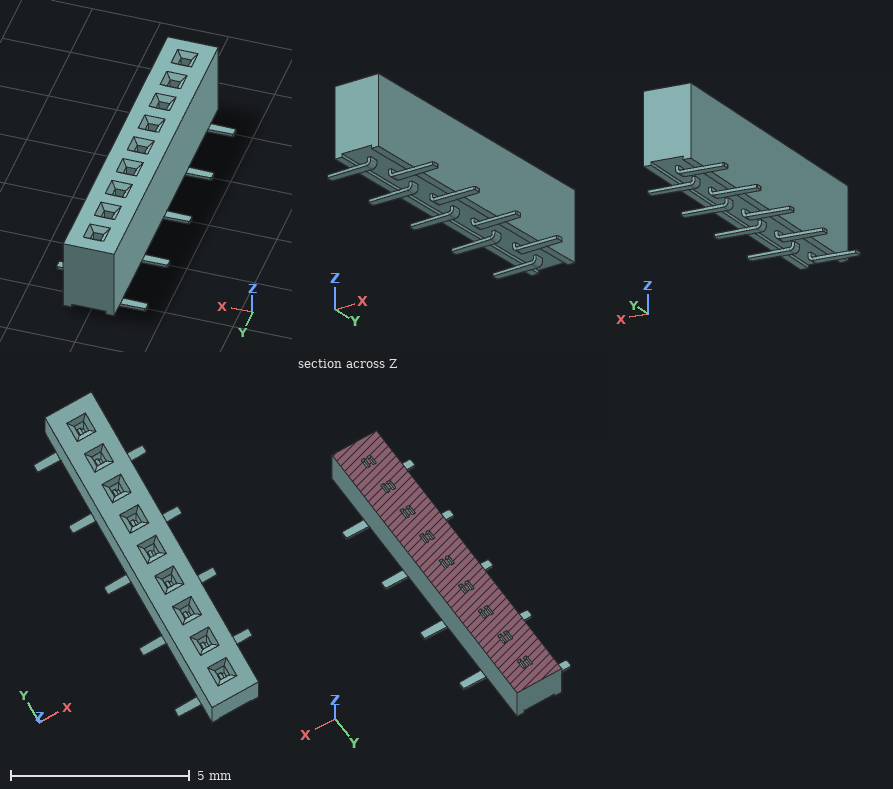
import cadquery as cq

PIN_COUNT = 9
PITCH = 1.0
END_MARGIN = 0.75
BODY_WIDTH = 1.5
BODY_LENGTH = (PIN_COUNT - 1) * PITCH + 2 * END_MARGIN
TOP_Z = 2.4
STANDOFF = 0.15
CHANNEL_WIDTH = 1.0
CHANNEL_ROOF_Z = 0.25

SOCKET_MOUTH = 0.6
SOCKET_BORE = 0.3
FUNNEL_DEPTH = (SOCKET_MOUTH - SOCKET_BORE) / 2
BORE_FLOOR_Z = 1.2

STRIP_THICKNESS = 0.1
STRIP_WIDTH = 0.3
TIP_WIDTH = 0.25
CONTACT_TOP_Z = 1.5
TAIL_SPAN = 2.95
BEND_INNER_RADIUS = 0.05
TIP_CHAMFER = 0.03


def make_housing():
    body = cq.Workplane("XY").box(
        BODY_WIDTH, BODY_LENGTH, TOP_Z - STANDOFF, centered=(True, True, False)
    ).translate((0, 0, STANDOFF))
    channel = cq.Workplane("XY").box(
        CHANNEL_WIDTH, BODY_LENGTH, CHANNEL_ROOF_Z, centered=(True, True, False)
    )
    return body.cut(channel)


def make_socket(y):
    funnel_bottom_z = TOP_Z - FUNNEL_DEPTH
    funnel = (
        cq.Workplane("XY", origin=(0, y, TOP_Z))
        .rect(SOCKET_MOUTH, SOCKET_MOUTH)
        .workplane(offset=-FUNNEL_DEPTH)
        .rect(SOCKET_BORE, SOCKET_BORE)
        .loft()
    )
    bore = (
        cq.Workplane("XY", origin=(0, y, BORE_FLOOR_Z))
        .rect(SOCKET_BORE, SOCKET_BORE)
        .extrude(funnel_bottom_z - BORE_FLOOR_Z)
    )
    return funnel.union(bore)


def make_contact(y, side):
    """Contact at y; its tail points to -X for side -1 and to +X for side +1."""
    half_strip = STRIP_THICKNESS / 2
    bend_top_z = STRIP_THICKNESS + BEND_INNER_RADIUS
    bend_end_x = half_strip + BEND_INNER_RADIUS
    tip_x = TAIL_SPAN / 2

    bent_strip = (
        cq.Workplane("XZ", origin=(0, STRIP_WIDTH / 2, 0))
        .moveTo(-half_strip * side, CONTACT_TOP_Z)
        .lineTo(-half_strip * side, bend_top_z)
        .radiusArc((bend_end_x * side, 0), -side * (BEND_INNER_RADIUS + STRIP_THICKNESS))
        .lineTo(tip_x * side, 0)
        .lineTo(tip_x * side, STRIP_THICKNESS)
        .lineTo(bend_end_x * side, STRIP_THICKNESS)
        .radiusArc((half_strip * side, bend_top_z), side * BEND_INNER_RADIUS)
        .lineTo(half_strip * side, CONTACT_TOP_Z)
        .close()
        .extrude(STRIP_WIDTH)
    )
    chamfer_x = tip_x - TIP_CHAMFER
    half_tip = TIP_WIDTH / 2
    half_end = half_tip - TIP_CHAMFER
    plan = [
        (-bend_end_x, STRIP_WIDTH / 2),
        (bend_end_x, STRIP_WIDTH / 2),
        (chamfer_x, half_tip),
        (tip_x, half_end),
        (tip_x, -half_end),
        (chamfer_x, -half_tip),
        (bend_end_x, -STRIP_WIDTH / 2),
        (-bend_end_x, -STRIP_WIDTH / 2),
    ]
    tapered_plan = (
        cq.Workplane("XY")
        .polyline([(x * side, plan_y) for x, plan_y in plan])
        .close()
        .extrude(CONTACT_TOP_Z)
    )
    contact = bent_strip.intersect(tapered_plan)
    return contact.translate((0, y, 0))


result = make_housing()
for pin in range(PIN_COUNT):
    pin_y = (pin - (PIN_COUNT - 1) / 2) * PITCH
    tail_side = -1 if pin % 2 == 0 else 1
    result = result.cut(make_socket(pin_y)).union(make_contact(pin_y, tail_side))